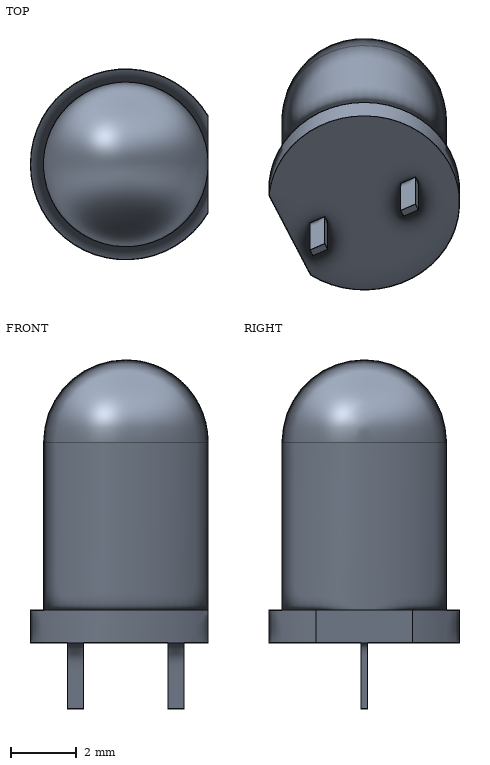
import cadquery as cq

lens_diameter = 5.0
flange_diameter = 5.8
flange_height = 1.0
total_height = 10.6
pin_length = 2.0
pin_width = 0.5
pin_thickness = 0.21
pin_spacing = 3.05

lens_radius = lens_diameter / 2
dome_base_z = total_height - pin_length - lens_radius


def make_flange():
    """Round collar with one flat on the +X side, tangent to the lens."""
    disc = cq.Workplane("XY").circle(flange_diameter / 2).extrude(flange_height)
    flat_cutter = (
        cq.Workplane("XY")
        .box(flange_diameter, flange_diameter, flange_height, centered=(False, True, False))
        .translate((lens_radius, 0, 0))
    )
    return disc.cut(flat_cutter)


def make_lens():
    """Cylinder closed by a hemispherical dome, revolved about the Z axis."""
    dome_mid = lens_radius * 0.5 ** 0.5
    return (
        cq.Workplane("XZ")
        .lineTo(lens_radius, 0)
        .lineTo(lens_radius, dome_base_z)
        .threePointArc((dome_mid, dome_base_z + dome_mid), (0, dome_base_z + lens_radius))
        .close()
        .revolve(360, (0, 0, 0), (0, 1, 0))
    )


def make_housing():
    """Lens and flange moulded as one body."""
    return make_flange().union(make_lens())


def make_pin(x_position):
    """Flat lead that butts against the flange underside."""
    return (
        cq.Workplane("XY")
        .center(x_position, 0)
        .rect(pin_width, pin_thickness)
        .extrude(-pin_length)
    )


housing = make_housing()
pins = [make_pin(side * pin_spacing / 2) for side in (-1, 1)]

result = cq.Compound.makeCompound([housing.val(), *[pin.val() for pin in pins]])